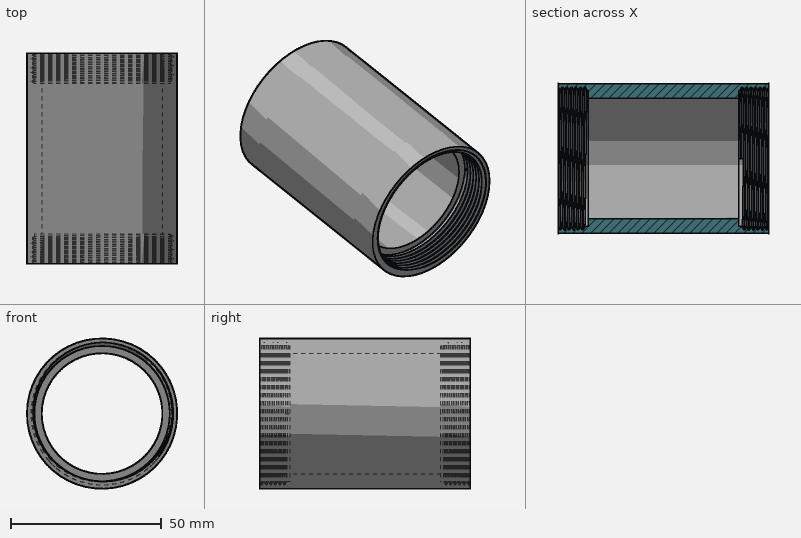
import cadquery as cq
import math

length = 70.0
outer_radius = length / 2.8
bore_radius = length / 3.5

socket_depth = length / 7
minor_radius = 22.5
major_radius = 23.65
pitch = 0.15 * socket_depth
flank_angle = 30.0
root_flat = pitch / 8
crest_flat = 0.03
entry_angle = 65.0
groove_turns = 6 + entry_angle / 360
lead_in_turns = 1 - entry_angle / 360
overlap = 0.035

end_y = -length / 2


def sleeve():
    """Outer cylinder joined from a middle tube and two end collars, bored and socketed."""
    collar_start = length / 2 - socket_depth
    middle = cylinder(outer_radius, -collar_start, collar_start)
    front_collar = cylinder(outer_radius, end_y, -collar_start)
    back_collar = cylinder(outer_radius, collar_start, -end_y)
    body = middle.union(front_collar, clean=False).union(back_collar, clean=False)
    body = body.cut(cylinder(bore_radius, end_y, -end_y), clean=False)
    for near, far in ((end_y, -collar_start), (collar_start, -end_y)):
        body = body.cut(cylinder(minor_radius, near, far), clean=False)
    return body


def cylinder(radius, y_from, y_to):
    """Cylinder along Y with its seam on the -X side."""
    solid = cq.Solid.makeCylinder(radius, y_to - y_from, cq.Vector(0, y_from, 0), cq.Vector(0, 1, 0))
    return cq.Workplane(obj=solid).rotate((0, 0, 0), (0, 1, 0), -90)


def thread_groove():
    """Right-handed V groove with a flat root, cut into the front socket."""
    start_y = end_y - lead_in_turns * pitch
    turns = lead_in_turns + groove_turns
    helix = cq.Wire.makeHelix(pitch, turns * pitch, minor_radius)

    flank_run = (major_radius - minor_radius) * math.tan(math.radians(flank_angle))
    half_root = root_flat / 2
    half_mouth = min(half_root + flank_run, (pitch - crest_flat) / 2)
    mouth_radius = minor_radius - overlap
    profile = (
        cq.Workplane("XZ")
        .polyline([
            (mouth_radius, -half_mouth),
            (major_radius, -half_root),
            (major_radius, half_root),
            (mouth_radius, half_mouth),
        ])
        .close()
    )
    groove = profile.sweep(cq.Workplane(obj=helix), isFrenet=True)
    return groove.rotate((0, 0, 0), (1, 0, 0), -90).translate((0, start_y, 0))


groove = thread_groove()
result = sleeve().cut(groove, clean=False)
result = result.cut(groove.rotate((0, 0, 0), (0, 0, 1), 180), clean=False)